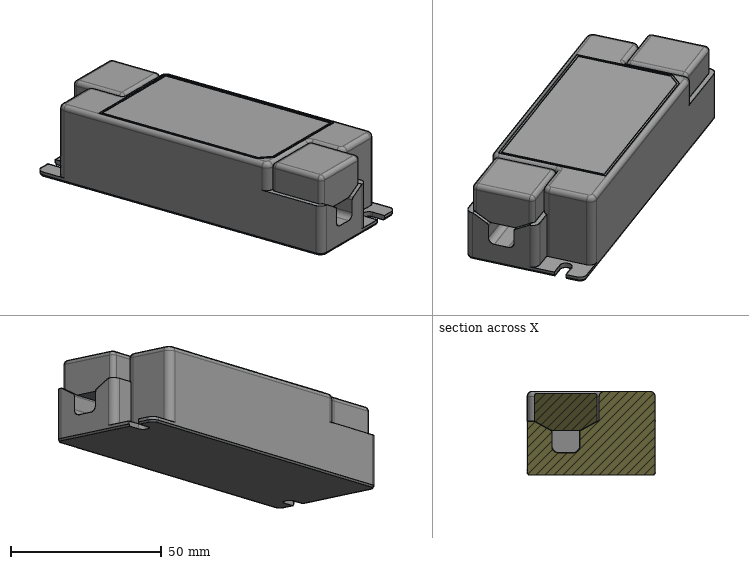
import cadquery as cq
import math

LENGTH = 116.0
WIDTH = 42.7
HEIGHT = 28.0
CORNER_RADIUS = 2.5

PLATE_THICKNESS = 1.7
BOTTOM_CHAMFER_INSET = 0.5
BOTTOM_CHAMFER_HEIGHT = 0.7
SLOT_WIDTH = 4.2
SLOT_DEPTH = 7.0
SLOT_FROM_SIDE = 8.6

BLOCK_END_INSET = 8.5
COVER_WALL_INSET = 21.9
COVER_WALL_FROM_SIDE = 24.0
INNER_CORNER_RADIUS = 0.7
TOP_FILLET = 1.7

PEDESTAL_HEIGHT = 18.0
PEDESTAL_WIDTH = 25.8
V_TOP_WIDTH = 20.4
V_BOTTOM_WIDTH = 9.2
V_DEPTH = 3.1
CHANNEL_FLOOR = 7.5
CHANNEL_FLOOR_RADIUS = 2.1
SHOULDER_RADIUS = 0.9

COVER_END_GAP = 1.4
COVER_FILLET = 1.6

LABEL_GAP_X = 1.9
LABEL_GAP_Y = 2.1
LABEL_CORNER_CUT = 4.1
GROOVE_WIDTH = 0.75
GROOVE_DEPTH = 0.1

END_X = LENGTH / 2
SIDE_Y = WIDTH / 2
BLOCK_X = END_X - BLOCK_END_INSET
COVER_WALL_X = END_X - COVER_WALL_INSET
COVER_WALL_Y = COVER_WALL_FROM_SIDE - SIDE_Y
PEDESTAL_Y = SIDE_Y - PEDESTAL_WIDTH / 2
SEAT_Z = PEDESTAL_HEIGHT - V_DEPTH
COVER_LENGTH = COVER_WALL_INSET - COVER_END_GAP
COVER_WIDTH = 2 * (PEDESTAL_Y + COVER_WALL_Y)

END_TURNS = (0, 180)


def turned(shape, angle):
    return shape.rotate((0, 0, 0), (0, 0, 1), angle)


def plate():
    return cq.Workplane("XY").rect(LENGTH, WIDTH).extrude(PLATE_THICKNESS).edges("|Z").fillet(CORNER_RADIUS)


def block():
    """Full-height Z-shaped block with rounded upright corners and top edges."""
    half_outline = [
        (-BLOCK_X, -SIDE_Y),
        (COVER_WALL_X, -SIDE_Y),
        (COVER_WALL_X, COVER_WALL_Y),
        (BLOCK_X, COVER_WALL_Y),
    ]
    outline = half_outline + [(-x, -y) for x, y in half_outline]
    body = cq.Workplane("XY").polyline(outline).close().extrude(HEIGHT)
    outer_corners = "|Z and (<X or >X or <Y or >Y)"
    inner_corners = "|Z exc (<X or >X or <Y or >Y)"
    body = body.edges(inner_corners).fillet(INNER_CORNER_RADIUS)
    body = body.edges(outer_corners).fillet(CORNER_RADIUS)
    return body.faces(">Z").edges().fillet(TOP_FILLET)


def pedestal():
    """Raised platform at the -X end, running into the block."""
    length = COVER_WALL_INSET + CORNER_RADIUS
    return (
        cq.Workplane("XY")
        .box(length, PEDESTAL_WIDTH, PEDESTAL_HEIGHT, centered=(False, True, False))
        .edges("<X and |Z")
        .fillet(CORNER_RADIUS)
        .translate((-END_X, PEDESTAL_Y, 0))
    )


def end_profile(points):
    """Prism along X under the -X cover, from a profile in Y (about the pedestal centre) and Z."""
    return (
        cq.Workplane("YZ", origin=(-END_X, PEDESTAL_Y, 0))
        .polyline(points)
        .close()
        .extrude(COVER_WALL_INSET)
    )


def seat_void():
    """Everything above the pedestal top and its V-shaped seat."""
    return end_profile([
        (-PEDESTAL_WIDTH, HEIGHT),
        (-PEDESTAL_WIDTH, PEDESTAL_HEIGHT),
        (-V_TOP_WIDTH / 2, PEDESTAL_HEIGHT),
        (-V_BOTTOM_WIDTH / 2, SEAT_Z),
        (V_BOTTOM_WIDTH / 2, SEAT_Z),
        (V_TOP_WIDTH / 2, PEDESTAL_HEIGHT),
        (PEDESTAL_WIDTH, PEDESTAL_HEIGHT),
        (PEDESTAL_WIDTH, HEIGHT),
    ])


def cable_channel():
    """V-shaped seat with a round-cornered channel below it, to cut from the pedestal."""
    half_width = V_BOTTOM_WIDTH / 2
    profile = end_profile([
        (-V_TOP_WIDTH / 2, PEDESTAL_HEIGHT),
        (-half_width, SEAT_Z),
        (-half_width, CHANNEL_FLOOR),
        (half_width, CHANNEL_FLOOR),
        (half_width, SEAT_Z),
        (V_TOP_WIDTH / 2, PEDESTAL_HEIGHT),
    ])
    shoulders = "|X exc (<Z or >Z)"
    profile = profile.edges(shoulders).fillet(SHOULDER_RADIUS)
    return profile.edges("|X and <Z").fillet(CHANNEL_FLOOR_RADIUS)


def mounting_slot():
    """Open slot with a round end in the plate at the -X end."""
    radius = SLOT_WIDTH / 2
    straight = SLOT_DEPTH - radius
    return (
        cq.Workplane("XY", origin=(-END_X, SLOT_FROM_SIDE - SIDE_Y, 0))
        .moveTo(0, -radius)
        .lineTo(straight, -radius)
        .threePointArc((SLOT_DEPTH, 0), (straight, radius))
        .lineTo(0, radius)
        .close()
        .extrude(PLATE_THICKNESS)
    )


def label_panel(inset):
    """Label area with one cut corner, moved inward by inset and sunk to the groove depth."""
    x = COVER_WALL_X - LABEL_GAP_X - inset
    y = SIDE_Y - LABEL_GAP_Y - inset
    cut = LABEL_CORNER_CUT - inset * (2 - math.sqrt(2))
    points = [(-x, -y), (x - cut, -y), (x, -y + cut), (x, y), (-x, y)]
    return (
        cq.Workplane("XY", origin=(0, 0, HEIGHT - GROOVE_DEPTH))
        .polyline(points)
        .close()
        .extrude(GROOVE_DEPTH)
    )


def label_groove():
    return label_panel(0).cut(label_panel(GROOVE_WIDTH))


def make_housing():
    body = plate().union(block())
    for angle in END_TURNS:
        body = body.union(turned(pedestal(), angle))
    body = body.faces("<Z").edges().chamfer(BOTTOM_CHAMFER_INSET, BOTTOM_CHAMFER_HEIGHT)
    for angle in END_TURNS:
        for cutter in (cable_channel(), mounting_slot()):
            body = body.cut(turned(cutter, angle))
    return body.cut(label_groove())


def make_cover():
    """Cover at the -X end; its underside fills the V-shaped seat."""
    body = (
        cq.Workplane("XY", origin=(COVER_END_GAP - END_X, PEDESTAL_Y, SEAT_Z))
        .box(COVER_LENGTH, COVER_WIDTH, HEIGHT - SEAT_Z, centered=(False, True, False))
        .edges("|Z")
        .fillet(COVER_FILLET)
        .faces(">Z")
        .edges()
        .fillet(COVER_FILLET)
    )
    return body.intersect(seat_void())


housing = make_housing()
covers = [turned(make_cover(), angle) for angle in END_TURNS]

result = cq.Compound.makeCompound([housing.val(), *[cover.val() for cover in covers]])